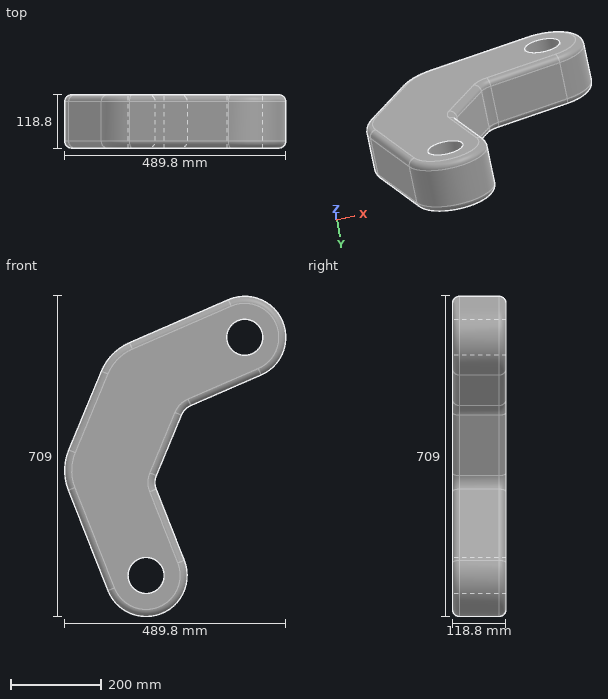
import cadquery as cq
import math

thickness = 118.8
hole_diameter = 79.2
hole_spacing = 570.24
chord_tilt = 22.5
arm_bend = 44.0
arm_half_width = 91.08
inner_offset = 63.36
outer_offset = 264.6
outer_corner_radius = 118.8
inner_corner_radius = 39.6
rim_fillet = 15.84

arm_cos = math.cos(math.radians(arm_bend))
arm_sin = math.sin(math.radians(arm_bend))


def profile_plane():
    """Plane at mid thickness: origin in the lower hole, local x towards the upper hole, local y to the bulge."""
    tilt = math.radians(chord_tilt)
    return cq.Plane(origin=(0, 0, 0), xDir=(math.sin(tilt), 0, math.cos(tilt)), normal=(0, -1, 0))


def mirrored(point):
    """Matching point at the other arm; the profile is symmetric about the middle of the hole spacing."""
    x, y = point
    return (hole_spacing - x, y)


def arm_side_start(side):
    """Point where an arm side meets its rounded end; side is +1 for outer and -1 for inner."""
    return (-side * arm_half_width * arm_sin, side * arm_half_width * arm_cos)


def corner_tangents(side, middle_offset, radius):
    """Ends of the corner arc: on the lower arm side, then on the middle section."""
    start_x, start_y = arm_side_start(side)
    corner_x = start_x + (middle_offset - start_y) / arm_sin * arm_cos
    tangent_length = radius * math.tan(math.radians(arm_bend / 2))
    on_arm = (corner_x - tangent_length * arm_cos, middle_offset - tangent_length * arm_sin)
    on_middle = (corner_x + tangent_length, middle_offset)
    return on_arm, on_middle


def make_body():
    """Bent link plate with two rounded ends, extruded about its mid plane."""
    outer_start = arm_side_start(1)
    inner_start = arm_side_start(-1)
    end_tip = (-arm_half_width * arm_cos, -arm_half_width * arm_sin)
    outer_on_arm, outer_on_middle = corner_tangents(1, outer_offset, outer_corner_radius)
    inner_on_arm, inner_on_middle = corner_tangents(-1, inner_offset, inner_corner_radius)
    return (
        cq.Workplane(profile_plane())
        .moveTo(*outer_start)
        .lineTo(*outer_on_arm)
        .tangentArcPoint(outer_on_middle, relative=False)
        .lineTo(*mirrored(outer_on_middle))
        .tangentArcPoint(mirrored(outer_on_arm), relative=False)
        .lineTo(*mirrored(outer_start))
        .threePointArc(mirrored(end_tip), mirrored(inner_start))
        .lineTo(*mirrored(inner_on_arm))
        .tangentArcPoint(mirrored(inner_on_middle), relative=False)
        .lineTo(*inner_on_middle)
        .tangentArcPoint(inner_on_arm, relative=False)
        .lineTo(*inner_start)
        .threePointArc(end_tip, outer_start)
        .close()
        .extrude(thickness / 2, both=True)
    )


def round_rims(body):
    """Fillet the outline of both flat faces."""
    return body.faces("<Y or >Y").edges().fillet(rim_fillet)


def make_hole_pins():
    """Cylinders that cut the two through holes."""
    return (
        cq.Workplane(profile_plane())
        .pushPoints([(0, 0), (hole_spacing, 0)])
        .circle(hole_diameter / 2)
        .extrude(thickness, both=True)
    )


result = round_rims(make_body()).cut(make_hole_pins())